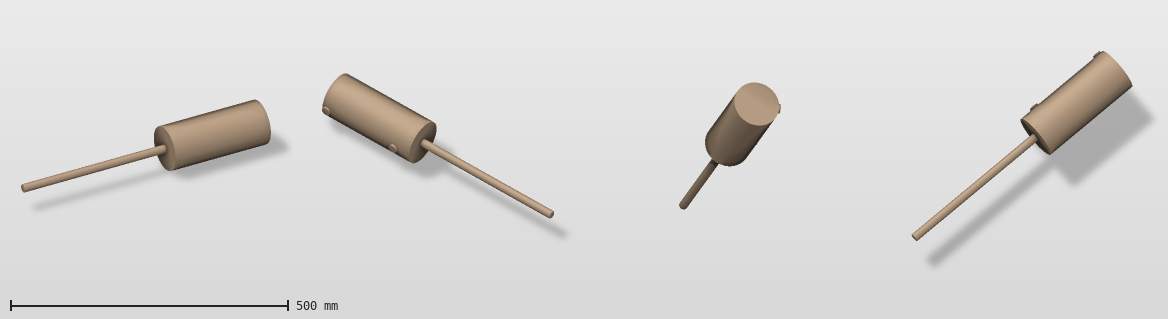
import cadquery as cq

total_length = 484.5
barrel_length = 194.5
barrel_diameter = 84.0
barrel_radius = barrel_diameter / 2

groove_setback = 1.5
groove_width = 3.0
groove_depth = 0.25

rod_diameter = 15.5
rod_chamfer = 1.0

pad_diameter = 17.0
pad_height = 3.5
pad_spacing = 150.0
rear_pad_setback = 9.5

rear_y = total_length / 2
barrel_front_y = rear_y - barrel_length
rod_tip_y = rear_y - total_length
rear_pad_y = rear_y - rear_pad_setback
pad_positions_y = [rear_pad_y, rear_pad_y - pad_spacing]


def cylinder_along_y(diameter, front_y, length):
    """Solid cylinder on the Y axis, running from front_y towards +Y."""
    plane = cq.Workplane("XZ", origin=(0, front_y, 0))
    return plane.circle(diameter / 2).extrude(-length)


def make_groove_ring():
    """Ring of material that the barrel loses at its groove."""
    groove_y = barrel_front_y + groove_setback
    outer = cylinder_along_y(barrel_diameter, groove_y, groove_width)
    floor = cylinder_along_y(barrel_diameter - 2 * groove_depth, groove_y, groove_width)
    return outer.cut(floor)


def make_rod():
    """Rod standing on the front face of the barrel, chamfered at its free end."""
    rod = cylinder_along_y(rod_diameter, rod_tip_y, total_length - barrel_length)
    return rod.faces("<Y").edges().chamfer(rod_chamfer)


def make_housing():
    """Grooved barrel and rod in one piece."""
    barrel = cylinder_along_y(barrel_diameter, barrel_front_y, barrel_length)
    return barrel.cut(make_groove_ring()).union(make_rod())


def make_pad(center_y):
    """Round pad with a flat outer face and an inner face that follows the barrel."""
    plane = cq.Workplane("YZ", origin=(0, center_y, 0))
    post = plane.circle(pad_diameter / 2).extrude(-(barrel_radius + pad_height))
    return post.cut(cylinder_along_y(barrel_diameter, barrel_front_y, barrel_length))


housing = make_housing()
pads = [make_pad(center_y) for center_y in pad_positions_y]

result = cq.Compound.makeCompound([housing.val(), *[pad.val() for pad in pads]])